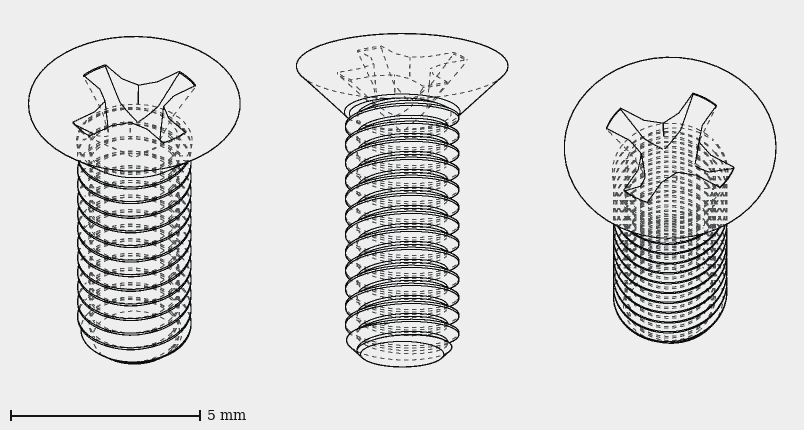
import cadquery as cq
import math

overall_length = 8.0
head_diameter = 5.6
head_height = 1.27
tip_chamfer = 0.4

major_diameter = 3.0
pitch = major_diameter / 6
flank_angle = 30.0
crest_flat = pitch / 8
root_flat = pitch / 6
ridge_start_z = 0.41

recess_diameter = 3.58
recess_rim_depth = 0.05
recess_draft = 5.0
wing_width = 0.73
wing_flare_x = 1.03
recess_corner = 0.55

major_radius = major_diameter / 2
head_radius = head_diameter / 2
recess_radius = recess_diameter / 2
shank_length = overall_length - head_height
thread_depth = (pitch - crest_flat - root_flat) / 2 / math.tan(math.radians(flank_angle))
root_radius = major_radius - thread_depth


def make_shank_envelope():
    """Solid that trims the thread: flat at both ends, with a 45-degree chamfer at the tip."""
    clearance = 0.08
    return (
        cq.Workplane("XZ")
        .lineTo(major_radius - tip_chamfer, 0)
        .lineTo(major_radius + clearance, tip_chamfer + clearance)
        .lineTo(major_radius + clearance, shank_length)
        .lineTo(0, shank_length)
        .close()
        .revolve(360, (0, 0, 0), (0, 1, 0))
    )


def make_head():
    """Countersunk cone, 45 degrees per side."""
    base_radius = head_radius - head_height
    return (
        cq.Workplane("XZ")
        .moveTo(0, shank_length)
        .lineTo(base_radius, shank_length)
        .lineTo(head_radius, overall_length)
        .lineTo(0, overall_length)
        .close()
        .revolve(360, (0, 0, 0), (0, 1, 0))
    )


def make_threaded_rod():
    """Core with a helical ridge, longer than the shank at both ends."""
    root_overlap = 0.02
    spare_turns = 2
    start_z = ridge_start_z - spare_turns * pitch
    rod_length = (math.ceil(shank_length / pitch) + 2 * spare_turns) * pitch
    crest_half = crest_flat / 2
    base_half = crest_half + (thread_depth + root_overlap) * math.tan(math.radians(flank_angle))
    base_radius = root_radius - root_overlap
    helix = cq.Wire.makeHelix(pitch, rod_length, base_radius)
    ridge = (
        cq.Workplane("XZ")
        .moveTo(base_radius, -base_half)
        .lineTo(major_radius, -crest_half)
        .lineTo(major_radius, crest_half)
        .lineTo(base_radius, base_half)
        .close()
        .sweep(cq.Workplane(obj=helix), isFrenet=True)
    )
    core = cq.Workplane("XY").circle(root_radius).extrude(rod_length)
    return core.union(ridge).translate((0, 0, start_z))


def make_recess():
    """Drafted cross, bounded by a 45-degree conical floor."""
    apex_depth = recess_rim_depth + recess_radius
    tip_clearance = 0.4
    wing_end = recess_radius + tip_clearance
    wing_half = wing_width / 2
    wing_points = [
        (wing_end, -wing_half),
        (wing_end, wing_half),
        (wing_flare_x, wing_half),
        (recess_corner, recess_corner),
        (wing_half, wing_flare_x),
    ]
    outline = []
    for _ in range(4):
        for x, y in wing_points:
            outline.append((x, y))
        wing_points = [(-y, x) for x, y in wing_points]
    cross = (
        cq.Workplane("XY")
        .workplane(offset=overall_length)
        .polyline(outline)
        .close()
        .extrude(-apex_depth, taper=recess_draft)
    )
    floor_cone = (
        cq.Workplane("XZ")
        .moveTo(0, overall_length)
        .lineTo(recess_radius, overall_length)
        .lineTo(recess_radius, overall_length - recess_rim_depth)
        .lineTo(0, overall_length - apex_depth)
        .close()
        .revolve(360, (0, 0, 0), (0, 1, 0))
    )
    return cross.intersect(floor_cone)


threaded_shank = make_threaded_rod().intersect(make_shank_envelope())
result = threaded_shank.union(make_head()).cut(make_recess())